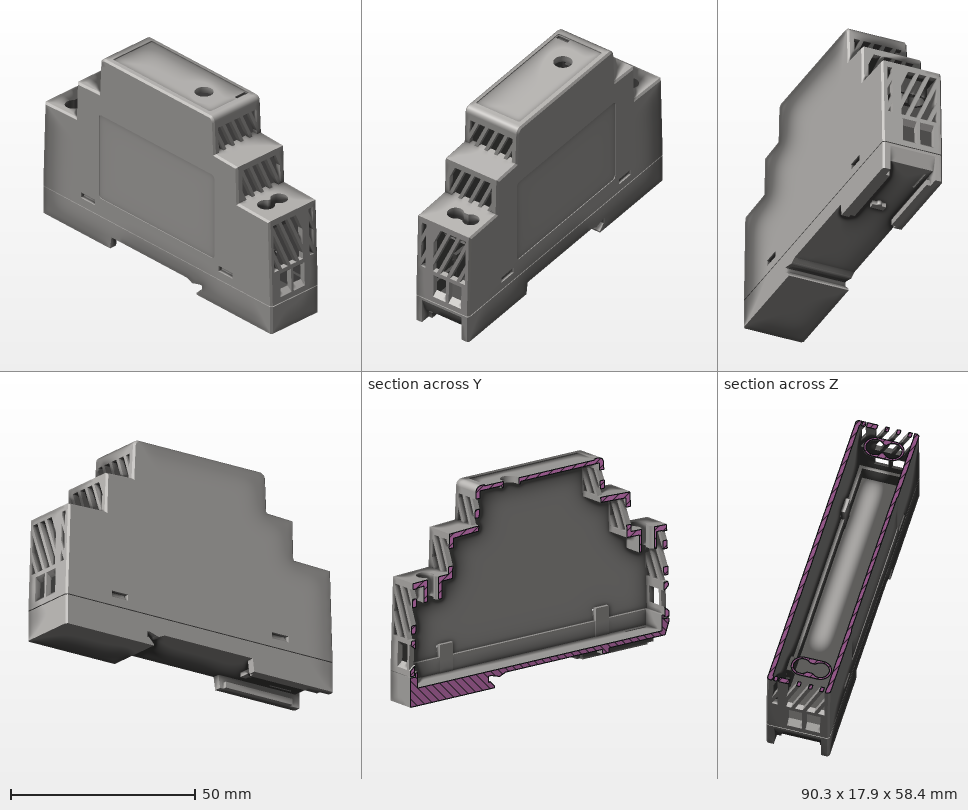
import cadquery as cq
import math

LENGTH = 90.3
WIDTH = 17.9
HEIGHT = 58.4
HALF_LENGTH = LENGTH / 2
HALF_WIDTH = WIDTH / 2
EDGE_CHAMFER = 0.5

COVER_BOTTOM_Z = 8.7
LOW_STEP_OUTER_X, LOW_STEP_OUTER_Z = 44.3, 35.0
LOW_STEP_INNER_X, LOW_STEP_INNER_Z = 31.9, 35.4
HIGH_STEP_OUTER_X, HIGH_STEP_OUTER_Z = 31.5, 46.7
HIGH_STEP_INNER_X, HIGH_STEP_INNER_Z = 22.8, 47.1
TOP_HALF_LENGTH = 22.2
TOP_FILLET = 1.8
END_WALL = 1.6
SIDE_WALL = 1.35
INNER_HALF_WIDTH = HALF_WIDTH - SIDE_WALL

LABEL_LENGTH, LABEL_HEIGHT, LABEL_CENTER_Z = 45.4, 26.3, 27.3
LABEL_CORNER, LABEL_DEPTH = 1.1, 0.2

PANEL_LENGTH, PANEL_WIDTH, PANEL_CENTER_Y = 38.3, 14.6, 0.2
PANEL_CORNER, PANEL_DEPTH = 0.45, 0.4
NOTCH_LENGTH, NOTCH_WIDTH, NOTCH_DEPTH = 1.3, 3.8, 0.7
NOTCH_CENTER_X, NOTCH_CENTER_Y = 18.2, 5.3
LAMP_X, LAMP_Y, LAMP_RADIUS = 9.9, -0.6, 2.6
LAMP_COLLAR_WALL, LAMP_DEPTH = 0.7, 2.3

SLOT_SLOPE = 2.3
SLOT_PITCH = 3.25
SLOT_WIDTH = 2.2
VENT_ROWS = [
    (47.1, 54.7, 4.2, [(-7.2, 7.0, -3, 2)]),
    (35.4, 44.9, 6.3, [(-6.95, 7.1, -4, 1)]),
    (18.8, 33.2, 0.8, [(-7.5, 3.25, -2, 2), (5.8, 7.3, 2, 4)]),
]

LEFT_TERMINAL = (-37.7, -1.7, 5.15, 2.35, 3.0)
RIGHT_TERMINAL = (37.2, -0.9, 5.0, 2.4, 2.5)
TUBE_BOTTOM_Z = 28.8
TUBE_WALL = 0.7
ENTRY_WIDTH = 4.15
ENTRY_OUTER_BOTTOM_Z, ENTRY_OUTER_TOP_Z = 10.3, 17.8
ENTRY_INNER_BOTTOM_Z, ENTRY_INNER_TOP_Z = 11.7, 16.3
ENTRY_DEPTH = 1.8
ENTRY_CLEARANCE = 0.45

WINDOW_X = 27.1
WINDOW_LENGTH, WINDOW_HEIGHT, WINDOW_CENTER_Z = 5.5, 1.7, 11.9

BASE_TOP_Z = 8.4
LIP_TOP_Z = 9.6
LIP_HALF_LENGTH = 43.35
LIP_WALL = 0.9
BASE_FLOOR_Z = 5.15

RAIL_DEPTH = 3.7
RAIL_TOP_X = 17.8
CLAW_TIP_X = 18.3
HOOK_TIP_X, HOOK_TIP_Z = 15.6, 0.45
HOOK_CREST_X, HOOK_CREST_Z = 17.3, 2.2
HOOK_ROOT_Z = 1.9
BUMP_START_X, BUMP_LOW_X, BUMP_END_X = 11.9, 14.1, 17.0
BUMP_LOW_Z = 2.9
BUMP_TIP_HALF_LENGTH, BUMP_TIP_RISE = 0.6, 0.2

END_RECESS_HALF_WIDTH = 6.7
END_RECESS_Z = 7.6
END_RECESS_RUN = 1.4
LEDGE_START_X, LEDGE_END_X = -42.0, -19.4
LEDGE_WIDTH, LEDGE_HEIGHT = 1.2, 1.7
STOP_X, STOP_LENGTH, STOP_WIDTH, STOP_HEIGHT = -22.6, 1.8, 4.0, 1.3
STOP_NOSE_RADIUS = 0.7
SLIT_X, SLIT_LENGTH, SLIT_Y, SLIT_WIDTH = -37.7, 7.2, -5.2, 0.5

TAB_WIDTH, TAB_THICKNESS, TAB_TOP_Z = 4.5, 1.1, 13.2
CATCH_REACH, CATCH_BOTTOM_Z, CATCH_EDGE_Z, CATCH_TOP_Z = 0.7, 11.2, 11.65, 12.7


def box(x_low, x_high, y_low, y_high, z_low, z_high):
    """Axis-aligned block given by its limits."""
    block = cq.Workplane("XY").box(x_high - x_low, y_high - y_low, z_high - z_low, centered=False)
    return block.translate((x_low, y_low, z_low))


def prism_along_y(points, y_low, y_high):
    """Polygon in X and Z, extruded from y_low to y_high."""
    return cq.Workplane("XZ", origin=(0, y_high, 0)).polyline(points).close().extrude(y_high - y_low)


def cover_outline():
    """Stepped half outline and its mirror image, as one closed loop."""
    right = [
        (HALF_LENGTH, COVER_BOTTOM_Z),
        (LOW_STEP_OUTER_X, LOW_STEP_OUTER_Z),
        (LOW_STEP_INNER_X, LOW_STEP_INNER_Z),
        (HIGH_STEP_OUTER_X, HIGH_STEP_OUTER_Z),
        (HIGH_STEP_INNER_X, HIGH_STEP_INNER_Z),
        (TOP_HALF_LENGTH, HEIGHT),
    ]
    left = [(-x, z) for x, z in reversed(right)]
    return right + left


def cover_shell():
    """Stepped block with rounded top ends and chamfered sides, hollow and open below."""
    outline = cover_outline()
    shell = prism_along_y(outline, -HALF_WIDTH, HALF_WIDTH)
    shell = shell.edges("|Y").edges(">Z").fillet(TOP_FILLET)
    side_edges = shell.faces("<Y or >Y").edges().edges(
        cq.selectors.BoxSelector(
            (-LENGTH, -WIDTH, COVER_BOTTOM_Z + EDGE_CHAMFER),
            (LENGTH, WIDTH, LENGTH),
        )
    )
    shell = side_edges.chamfer(EDGE_CHAMFER)

    cavity = (
        cq.Workplane("XZ", origin=(0, INNER_HALF_WIDTH, 0))
        .polyline(outline).close()
        .offset2D(-END_WALL, "intersection")
        .extrude(2 * INNER_HALF_WIDTH)
    )
    mouth_half_length = HALF_LENGTH - END_WALL
    mouth = box(
        -mouth_half_length, mouth_half_length, -INNER_HALF_WIDTH, INNER_HALF_WIDTH,
        COVER_BOTTOM_Z, COVER_BOTTOM_Z + END_WALL,
    )
    return shell.cut(cavity).cut(mouth)


def vent_group(bottom_z, top_z, first_y, y_low, y_high, first_vent, last_vent):
    """Slanted vents reaching through both ends, trimmed to one rectangular group."""
    shift = (top_z - bottom_z) / SLOT_SLOPE
    vents = cq.Workplane("YZ", origin=(-HALF_LENGTH, 0, 0))
    for vent in range(first_vent, last_vent + 1):
        y = first_y + vent * SLOT_PITCH
        vents = vents.polyline([
            (y, bottom_z),
            (y - shift, top_z),
            (y - shift - SLOT_WIDTH, top_z),
            (y - SLOT_WIDTH, bottom_z),
        ]).close()
    limit = box(-HALF_LENGTH, HALF_LENGTH, y_low, y_high, bottom_z, top_z)
    return vents.extrude(LENGTH).intersect(limit)


def screw_tube(x, y, pitch, radius):
    """Solid stadium-shaped pillar hanging from the low step around a screw opening."""
    outer_radius = radius + TUBE_WALL
    return (
        cq.Workplane("XY", origin=(x, y, TUBE_BOTTOM_Z))
        .slot2D(pitch + 2 * outer_radius, 2 * outer_radius, 90)
        .extrude(LOW_STEP_OUTER_Z - END_WALL / 2 - TUBE_BOTTOM_Z)
    )


def screw_opening(x, y, pitch, radius, neck):
    """Two round screw holes joined by a narrower neck."""
    depth = HEIGHT - TUBE_BOTTOM_Z
    plane = cq.Workplane("XY", origin=(x, y, TUBE_BOTTOM_Z))
    holes = plane.pushPoints([(0, -pitch / 2), (0, pitch / 2)]).circle(radius).extrude(depth)
    return holes.union(plane.rect(neck, pitch).extrude(depth))


def wire_entries(x, y, pitch):
    """Two wire entries in the end wall beside a terminal, narrowing inward in height."""
    side = math.copysign(1, x)
    outer_x = side * HALF_LENGTH
    inner_x = outer_x - side * ENTRY_DEPTH
    cleared_x = inner_x - side * ENTRY_CLEARANCE
    profile = [
        (outer_x, ENTRY_OUTER_BOTTOM_Z),
        (outer_x, ENTRY_OUTER_TOP_Z),
        (inner_x, ENTRY_INNER_TOP_Z),
        (cleared_x, ENTRY_INNER_TOP_Z),
        (cleared_x, ENTRY_INNER_BOTTOM_Z),
        (inner_x, ENTRY_INNER_BOTTOM_Z),
    ]
    entries = cq.Workplane("XY")
    for center_y in (y - pitch / 2, y + pitch / 2):
        entries = entries.add(
            prism_along_y(profile, center_y - ENTRY_WIDTH / 2, center_y + ENTRY_WIDTH / 2)
        )
    return entries.combine()


def label_recess():
    """Shallow rounded label field in the -Y side."""
    return (
        cq.Workplane("XY")
        .box(LABEL_LENGTH, LABEL_DEPTH, LABEL_HEIGHT)
        .edges("|Y").fillet(LABEL_CORNER)
        .translate((0, -HALF_WIDTH + LABEL_DEPTH / 2, LABEL_CENTER_Z))
    )


def lamp_collar():
    """Short boss under the roof that deepens the lamp hole."""
    return (
        cq.Workplane("XY", origin=(LAMP_X, LAMP_Y, HEIGHT - LAMP_DEPTH))
        .circle(LAMP_RADIUS + LAMP_COLLAR_WALL).extrude(LAMP_DEPTH - PANEL_DEPTH)
    )


def top_panel():
    """Recessed top field with its corner notch and the round lamp hole."""
    panel = (
        cq.Workplane("XY")
        .box(PANEL_LENGTH, PANEL_WIDTH, PANEL_DEPTH)
        .edges("|Z").fillet(PANEL_CORNER)
        .translate((0, PANEL_CENTER_Y, HEIGHT - PANEL_DEPTH / 2))
    )
    notch = (
        cq.Workplane("XY")
        .box(NOTCH_LENGTH, NOTCH_WIDTH, NOTCH_DEPTH)
        .translate((NOTCH_CENTER_X, NOTCH_CENTER_Y, HEIGHT - PANEL_DEPTH - NOTCH_DEPTH / 2))
    )
    lamp = (
        cq.Workplane("XY", origin=(LAMP_X, LAMP_Y, HEIGHT - LAMP_DEPTH))
        .circle(LAMP_RADIUS).extrude(LAMP_DEPTH)
    )
    return panel.union(notch).union(lamp)


def catch_windows():
    """Rectangular windows through both sides for the catches of the base."""
    return (
        cq.Workplane("XY")
        .pushPoints([(-WINDOW_X, 0), (WINDOW_X, 0)])
        .box(WINDOW_LENGTH, WIDTH, WINDOW_HEIGHT)
        .translate((0, 0, WINDOW_CENTER_Z))
    )


def make_cover():
    body = cover_shell()
    for bottom_z, top_z, first_y, groups in VENT_ROWS:
        for group in groups:
            body = body.cut(vent_group(bottom_z, top_z, first_y, *group))
    for terminal in (LEFT_TERMINAL, RIGHT_TERMINAL):
        body = body.union(screw_tube(*terminal[:4]))
        body = body.cut(screw_opening(*terminal))
        body = body.cut(wire_entries(*terminal[:3]))
    body = body.union(lamp_collar())
    return body.cut(label_recess()).cut(top_panel()).cut(catch_windows())


def base_block():
    """Foot with the rail groove, its hook and the rounded spring bump."""
    block = (
        cq.Workplane("XZ", origin=(0, HALF_WIDTH, 0))
        .moveTo(-HALF_LENGTH, 0)
        .lineTo(-CLAW_TIP_X, 0)
        .lineTo(-RAIL_TOP_X, RAIL_DEPTH)
        .lineTo(BUMP_START_X, RAIL_DEPTH)
        .lineTo(BUMP_LOW_X - BUMP_TIP_HALF_LENGTH, BUMP_LOW_Z + BUMP_TIP_RISE)
        .threePointArc(
            (BUMP_LOW_X, BUMP_LOW_Z),
            (BUMP_LOW_X + BUMP_TIP_HALF_LENGTH, BUMP_LOW_Z + BUMP_TIP_RISE),
        )
        .lineTo(BUMP_END_X, RAIL_DEPTH)
        .lineTo(RAIL_TOP_X, RAIL_DEPTH)
        .lineTo(RAIL_TOP_X, HOOK_ROOT_Z)
        .lineTo(HOOK_CREST_X, HOOK_CREST_Z)
        .lineTo(HOOK_TIP_X, HOOK_TIP_Z)
        .lineTo(HOOK_TIP_X, 0)
        .lineTo(HALF_LENGTH, 0)
        .lineTo(HALF_LENGTH, BASE_TOP_Z)
        .lineTo(-HALF_LENGTH, BASE_TOP_Z)
        .close()
        .extrude(WIDTH)
    )
    return block.edges("|Z and (<X or >X)").chamfer(EDGE_CHAMFER)


def end_recess():
    """Space under the -X end, open below, with a sloped roof at its mouth."""
    return prism_along_y(
        [
            (-HALF_LENGTH, 0),
            (-HALF_LENGTH, END_RECESS_Z),
            (-HALF_LENGTH + END_RECESS_RUN, RAIL_DEPTH),
            (-RAIL_TOP_X, RAIL_DEPTH),
            (-RAIL_TOP_X, 0),
        ],
        -END_RECESS_HALF_WIDTH, END_RECESS_HALF_WIDTH,
    )


def ledges():
    """Low ledges along the inner faces of the two walls of the end recess."""
    inner_y = END_RECESS_HALF_WIDTH - LEDGE_WIDTH
    front = box(LEDGE_START_X, LEDGE_END_X, -END_RECESS_HALF_WIDTH, -inner_y, 0, LEDGE_HEIGHT)
    return front.union(front.mirror("XZ"))


def stop_block():
    """Small stop under the roof of the end recess, with a round nose on its outer face."""
    bottom_z = RAIL_DEPTH - STOP_HEIGHT
    block = (
        cq.Workplane("XY", origin=(STOP_X, 0, bottom_z))
        .rect(STOP_LENGTH, STOP_WIDTH).extrude(STOP_HEIGHT)
    )
    nose = (
        cq.Workplane("XY", origin=(STOP_X - STOP_LENGTH / 2, 0, bottom_z))
        .circle(STOP_NOSE_RADIUS).extrude(STOP_HEIGHT)
    )
    return block.union(nose)


def snap_tabs():
    """Four upright tabs whose outward catches sit in the cover windows."""
    tip_y = INNER_HALF_WIDTH + CATCH_REACH
    inner_y = INNER_HALF_WIDTH - TAB_THICKNESS
    profile = [
        (inner_y, BASE_FLOOR_Z),
        (INNER_HALF_WIDTH, BASE_FLOOR_Z),
        (INNER_HALF_WIDTH, CATCH_BOTTOM_Z),
        (tip_y, CATCH_BOTTOM_Z),
        (tip_y, CATCH_EDGE_Z),
        (INNER_HALF_WIDTH, CATCH_TOP_Z),
        (INNER_HALF_WIDTH, TAB_TOP_Z),
        (inner_y, TAB_TOP_Z),
    ]
    tabs = cq.Workplane("XY")
    for x in (-WINDOW_X, WINDOW_X):
        tab = (
            cq.Workplane("YZ", origin=(x - TAB_WIDTH / 2, 0, 0))
            .polyline(profile).close().extrude(TAB_WIDTH)
        )
        tabs = tabs.add(tab).add(tab.mirror("XZ"))
    return tabs.combine()


def make_base():
    lip = box(
        -LIP_HALF_LENGTH, LIP_HALF_LENGTH, -INNER_HALF_WIDTH, INNER_HALF_WIDTH,
        BASE_TOP_Z, LIP_TOP_Z,
    )
    tray_half_length = LIP_HALF_LENGTH - LIP_WALL
    tray_half_width = INNER_HALF_WIDTH - LIP_WALL
    tray = box(
        -tray_half_length, tray_half_length, -tray_half_width, tray_half_width,
        BASE_FLOOR_Z, LIP_TOP_Z,
    )
    slit = (
        cq.Workplane("XY")
        .box(SLIT_LENGTH, SLIT_WIDTH, BASE_FLOOR_Z)
        .translate((SLIT_X, SLIT_Y, BASE_FLOOR_Z / 2))
    )
    body = base_block().union(lip).cut(tray).cut(end_recess())
    body = body.union(ledges()).union(stop_block())
    return body.cut(slit).union(snap_tabs())


cover = make_cover()
base = make_base()

result = cq.Compound.makeCompound([cover.solids().val(), base.solids().val()])